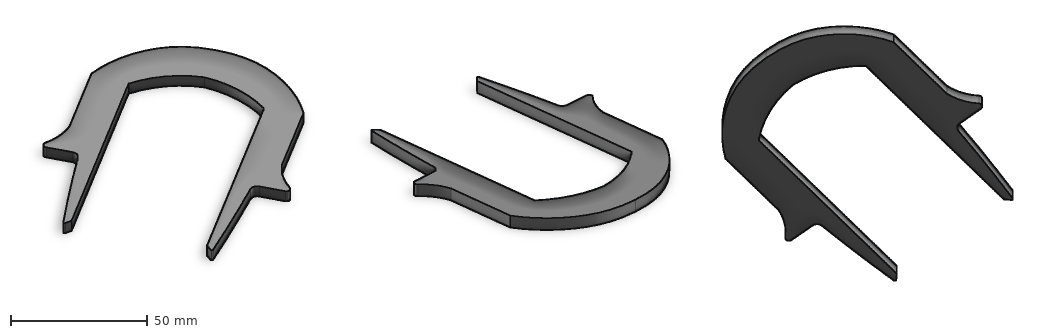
import cadquery as cq
import math

length = 106.9
thickness = 5.0
barb_half_width = 46.9

leg_outer_x = 40.4
leg_inner_x = 25.8
outer_spring_y = 82.1
outer_crown_point = (17.6, 103.5)
outer_haunch_point = (30.7, 95.0)
inner_spring_y = 80.5
inner_apex_y = 91.3
inner_arch_radius = 44.3

barb_top_y = 51.8
barb_underside_y = 38.6
barb_flank_radius = 21.4
barb_tip_radius = 1.4

spike_root_x = 33.0
spike_root_radius = 2.8
spike_bow_radius = 641.2
spike_tip_radius = 0.5
bevel_top_y = 2.0

barb_center_x = barb_half_width - barb_tip_radius
barb_center_y = barb_underside_y + barb_tip_radius
barb_tip_diagonal = barb_tip_radius * math.sqrt(0.5)

spike_center_x = leg_inner_x + bevel_top_y + spike_tip_radius * (math.sqrt(2) - 1)
spike_tip_diagonal = spike_tip_radius * math.sqrt(0.5)
bevel_end = (spike_center_x - spike_tip_diagonal, spike_tip_radius - spike_tip_diagonal)


def half_clip():
    """Solid +X half, with its cut face on the symmetry plane."""
    crown_direction = (1, 0)
    spring_point = (leg_outer_x, outer_spring_y)
    return (
        cq.Workplane("XY")
        .moveTo(0, length)
        .spline(
            [outer_crown_point, outer_haunch_point, spring_point],
            tangents=[crown_direction, None, None, None],
            includeCurrent=True,
        )
        .lineTo(leg_outer_x, barb_top_y)
        .radiusArc((barb_center_x + barb_tip_diagonal, barb_center_y + barb_tip_diagonal), -barb_flank_radius)
        .threePointArc((barb_half_width, barb_center_y), (barb_center_x, barb_underside_y))
        .lineTo(spike_root_x, barb_underside_y)
        .radiusArc((spike_center_x + spike_tip_radius, spike_tip_radius), spike_bow_radius)
        .threePointArc((spike_center_x, 0), bevel_end)
        .lineTo(leg_inner_x, bevel_top_y)
        .lineTo(leg_inner_x, inner_spring_y)
        .radiusArc((0, inner_apex_y), -inner_arch_radius)
        .close()
        .extrude(thickness)
    )


def round_spike_root(body):
    """Blend the barb underside into the spike."""
    root = cq.selectors.NearestToPointSelector((spike_root_x, barb_underside_y, thickness / 2))
    return body.edges("|Z").edges(root).fillet(spike_root_radius)


half = round_spike_root(half_clip())

result = half.union(half.mirror("YZ"))